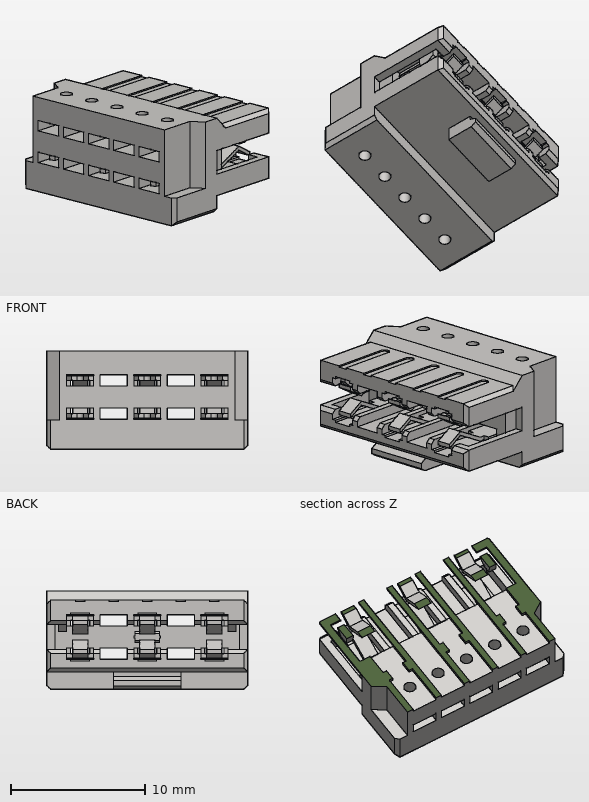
import cadquery as cq


WIDTH = 15.0
DEPTH = 11.0
HEIGHT = 7.35
PITCH = WIDTH / 6
EDGE_CHAMFER = 0.3
OVERSHOOT = 0.15

BLOCK_DEPTH = 4.82
LOWER_ARM_BOTTOM = 1.3
LOWER_ARM_TOP = 2.98
UPPER_ARM_BOTTOM = 4.83
UPPER_ARM_TOP = 6.66
SLOPE_END = BLOCK_DEPTH + HEIGHT - UPPER_ARM_TOP
MID_Z = (LOWER_ARM_TOP + UPPER_ARM_BOTTOM) / 2
SIDE_WALL = 0.62

NOTCH_FLOOR = 2.18
NOTCH_WIDTH = 0.98
NOTCH_STRAIGHT = 2.86
NOTCH_DEPTH = 3.52

TONGUE_END = 6.02
PEG_LENGTH = 0.39
PEG_HEIGHT = 0.84
PEG_WIDTH = 1.8
PEG_CHAMFER = 0.15
PEG_BAND_HEIGHT = 0.16
PEG_BAND_OVERHANG = 0.08

KEY_WIDTH = 2 * PITCH
KEY_FRONT = 8.01
KEY_NECK = 9.99
KEY_FOOT = 10.08
KEY_TIP = 10.5
KEY_TIP_BOTTOM = 0.27
KEY_TIP_TOP = 0.68
KEY_NECK_BOTTOM = 0.98

CHANNEL_WIDTH = 2.01
CHANNEL_FLOOR = 2.26
CHANNEL_TOP = 3.08
HOLE_Y = 2.07
HOLE_DIAMETER = 0.9

GROOVE_WIDTH = 0.72
GROOVE_LENGTH = 5.01
GROOVE_DEPTH = 0.1

POCKET_DEPTH = 1.0
REAR_WALL = 0.92
POCKET_WIDTH = WIDTH / 2 - SIDE_WALL - 2 * PITCH - CHANNEL_WIDTH / 2
POCKET_X = WIDTH / 2 - SIDE_WALL - POCKET_WIDTH / 2
TAB_WIDTH = 0.6
TAB_X = POCKET_X - (POCKET_WIDTH - TAB_WIDTH) / 2
TAB_DROP = 0.5
TAB_FRONT = 8.32
TAB_FOOT_FRONT = 8.38
TAB_FOOT_REAR = 9.03
TAB_REAR = 9.6

PLATE_GAP = 0.08
PLATE_THICKNESS = 0.33
PLATE_BOTTOM = CHANNEL_FLOOR + PLATE_GAP
PLATE_TOP = PLATE_BOTTOM + PLATE_THICKNESS
FORK_GAP = 0.51
FORK_END = 3.0
FORK_SHOULDER = 1.5
FORK_TIP = 0.9
TIP_FALL = 0.15
TIP_OFFSET = 0.36
PLATE_END = 6.9
EAR_WIDTH = 0.3
EAR_FRONT = 3.3
EAR_LENGTH = 0.9
BEAM_WIDTH = 1.14
BEAM_THICKNESS = 0.32
BEAM_APEX_Y = 9.52
BEAM_APEX_Z = 3.69
BEAM_FRONT_SLOPE = 0.47
BEAM_REAR_SLOPE = 0.58
BEAM_REAR = 10.74
BEAM_OVERLAP = 0.15
RECESS_WIDTH = CHANNEL_WIDTH - 2 * EAR_WIDTH
RECESS_LENGTH = DEPTH - BEAM_APEX_Y
RECESS_DEPTH = 0.16

COLUMNS = [PITCH * i for i in range(-2, 3)]
CONTACT_COLUMNS = COLUMNS[::2]


def box(width, y_range, z_range, x=0.0):
    """Box centred on x, between two Y and two Z limits."""
    y0, y1 = y_range
    z0, z1 = z_range
    return cq.Workplane("XY").box(width, y1 - y0, z1 - z0).translate((x, (y0 + y1) / 2, (z0 + z1) / 2))


def side_prism(points, width, x=0.0):
    """Extrude a (Y, Z) outline along X, centred on x."""
    return cq.Workplane("YZ").polyline(points).close().extrude(width / 2, both=True).translate((x, 0, 0))


def mirrored(shape):
    """The same shape reflected into the upper row of contacts."""
    return shape.mirror("XY", (0, 0, MID_Z))


def housing():
    """Block with two rear arms, bevelled edges, front corner notches and the tongue between the arms."""
    c = EDGE_CHAMFER
    profile = [
        (0, 0), (BLOCK_DEPTH, 0), (BLOCK_DEPTH, LOWER_ARM_BOTTOM),
        (DEPTH - c, LOWER_ARM_BOTTOM), (DEPTH, LOWER_ARM_BOTTOM + c),
        (DEPTH, LOWER_ARM_TOP - c), (DEPTH - c, LOWER_ARM_TOP), (BLOCK_DEPTH, LOWER_ARM_TOP),
        (BLOCK_DEPTH, UPPER_ARM_BOTTOM), (DEPTH - c, UPPER_ARM_BOTTOM),
        (DEPTH, UPPER_ARM_BOTTOM + c), (DEPTH, UPPER_ARM_TOP),
        (SLOPE_END, UPPER_ARM_TOP), (BLOCK_DEPTH, HEIGHT), (0, HEIGHT),
    ]
    plan = cq.Workplane("XY").rect(WIDTH, DEPTH).extrude(HEIGHT).translate((0, DEPTH / 2, 0))
    body = side_prism(profile, WIDTH).intersect(plan.edges("|Z").chamfer(c))
    for side in (-1, 1):
        body = body.cut(edge_bevel(side, 0, 1, -OVERSHOOT, BLOCK_DEPTH))
        body = body.cut(upper_arm_bevel(side))
        body = body.cut(corner_notch(side))
    tongue = box(WIDTH - 2 * SIDE_WALL, (BLOCK_DEPTH, TONGUE_END), (LOWER_ARM_TOP, UPPER_ARM_BOTTOM))
    return body.union(tongue)


def edge_bevel(side, z, up, y_start, y_end):
    """Triangular cutter along Y for the outer edge at height z; up is +1 to bevel upward."""
    edge = side * WIDTH / 2
    corner = [(edge, z), (edge - side * EDGE_CHAMFER, z), (edge, z + up * EDGE_CHAMFER)]
    return cq.Workplane("XZ").polyline(corner).close().extrude(y_start - y_end).translate((0, y_start, 0))


def upper_arm_bevel(side):
    """Bevel of the upper arm's top edge, stopped by the sloping rear of the block."""
    reach = SLOPE_END + EDGE_CHAMFER
    rear = [
        (SLOPE_END, UPPER_ARM_TOP), (reach, UPPER_ARM_TOP - EDGE_CHAMFER),
        (DEPTH + OVERSHOOT, UPPER_ARM_TOP - EDGE_CHAMFER), (DEPTH + OVERSHOOT, UPPER_ARM_TOP),
    ]
    bevel = edge_bevel(side, UPPER_ARM_TOP, -1, SLOPE_END, DEPTH + OVERSHOOT)
    return bevel.intersect(side_prism(rear, WIDTH))


def corner_notch(side):
    """Cutter for the tall front corner, with a slanted rear wall."""
    outer = side * WIDTH / 2
    inner = outer - side * NOTCH_WIDTH
    outline = [(outer, -OVERSHOOT), (outer, NOTCH_DEPTH), (inner, NOTCH_STRAIGHT), (inner, -OVERSHOOT)]
    return cq.Workplane("XY").workplane(offset=NOTCH_FLOOR).polyline(outline).close().extrude(HEIGHT)


def peg():
    """Chamfered peg on the tongue, with a thin band along its middle."""
    z_range = (MID_Z - PEG_HEIGHT / 2, MID_Z + PEG_HEIGHT / 2)
    band_z = (MID_Z - PEG_BAND_HEIGHT / 2, MID_Z + PEG_BAND_HEIGHT / 2)
    y_range = (TONGUE_END, TONGUE_END + PEG_LENGTH)
    head = box(PEG_WIDTH, y_range, z_range).faces(">Y").edges("|X").chamfer(PEG_CHAMFER)
    return head.union(box(PEG_WIDTH + 2 * PEG_BAND_OVERHANG, y_range, band_z))


def key():
    """Hooked polarizing key below the lower arm."""
    outline = [
        (KEY_FRONT, 0), (KEY_FOOT, 0), (KEY_TIP, KEY_TIP_BOTTOM), (KEY_TIP, KEY_TIP_TOP),
        (KEY_NECK, KEY_NECK_BOTTOM), (KEY_NECK, LOWER_ARM_BOTTOM), (KEY_FRONT, LOWER_ARM_BOTTOM),
    ]
    return side_prism(outline, KEY_WIDTH)


def groove(x):
    """Round-ended groove in the upper arm, open at the rear."""
    floor = UPPER_ARM_TOP - GROOVE_DEPTH
    end_y = DEPTH - GROOVE_LENGTH + GROOVE_WIDTH / 2
    slot = box(GROOVE_WIDTH, (end_y, DEPTH + OVERSHOOT), (floor, UPPER_ARM_TOP + OVERSHOOT), x)
    end = (
        cq.Workplane("XY").workplane(offset=floor).center(x, end_y)
        .circle(GROOVE_WIDTH / 2).extrude(GROOVE_DEPTH + OVERSHOOT)
    )
    return slot.union(end)


def screw_hole(x):
    """Screw access hole through the whole block."""
    return cq.Workplane("XY").center(x, HOLE_Y).circle(HOLE_DIAMETER / 2).extrude(HEIGHT)


def channel(x):
    """Straight lower channel from the wire entry to the open rear of the arm."""
    return box(CHANNEL_WIDTH, (-OVERSHOOT, DEPTH + OVERSHOOT), (CHANNEL_FLOOR, CHANNEL_TOP), x)


def beam_recess(x):
    """Clearance in the channel floor below the rear half of the spring beam."""
    return box(RECESS_WIDTH, (DEPTH - RECESS_LENGTH, DEPTH), (CHANNEL_FLOOR - RECESS_DEPTH, CHANNEL_FLOOR), x)


def side_pocket(side):
    """Pocket between the outermost lower channel and the side wall."""
    return box(POCKET_WIDTH, (TONGUE_END, DEPTH - REAR_WALL),
               (LOWER_ARM_TOP - POCKET_DEPTH, LOWER_ARM_TOP), side * POCKET_X)


def pocket_tab(side):
    """Tab that hangs from an upper pocket into the gap between the arms."""
    root = UPPER_ARM_BOTTOM + POCKET_DEPTH
    foot = UPPER_ARM_BOTTOM - TAB_DROP
    outline = [
        (TAB_FRONT, root), (TAB_FRONT, UPPER_ARM_BOTTOM), (TAB_FOOT_FRONT, foot),
        (TAB_FOOT_REAR, foot), (TAB_REAR, UPPER_ARM_BOTTOM), (TAB_REAR, root),
    ]
    return side_prism(outline, TAB_WIDTH, side * TAB_X)


def contact(x):
    """Forked plate with a bent spring beam that rises out of the lower arm."""
    half = CHANNEL_WIDTH / 2
    gap = FORK_GAP / 2
    slot_end = FORK_END - gap
    plate = (
        cq.Workplane("XY").workplane(offset=PLATE_BOTTOM)
        .moveTo(-half, FORK_SHOULDER)
        .lineTo(-half + TIP_OFFSET, FORK_TIP)
        .lineTo(-gap, FORK_TIP + TIP_FALL)
        .lineTo(-gap, slot_end)
        .threePointArc((0, FORK_END), (gap, slot_end))
        .lineTo(gap, FORK_SHOULDER)
        .lineTo(gap + TIP_OFFSET, FORK_TIP)
        .lineTo(half, FORK_TIP + TIP_FALL)
        .lineTo(half, PLATE_END)
        .lineTo(-half, PLATE_END)
        .close().extrude(PLATE_THICKNESS)
    )
    for side in (-1, 1):
        ear_x = side * (half - EAR_WIDTH / 2)
        ear = box(EAR_WIDTH, (EAR_FRONT, EAR_FRONT + EAR_LENGTH), (PLATE_TOP, CHANNEL_TOP), ear_x)
        plate = plate.union(ear)
    return plate.union(spring_beam()).translate((x, 0, 0))


def spring_beam():
    """Bent strip that leaves the plate, rises to a crest and falls towards the rear."""
    foot_y = BEAM_APEX_Y - (BEAM_APEX_Z - PLATE_TOP) / BEAM_FRONT_SLOPE
    rear_z = BEAM_APEX_Z - (BEAM_REAR - BEAM_APEX_Y) * BEAM_REAR_SLOPE
    upper = [
        (PLATE_END - BEAM_OVERLAP, PLATE_TOP), (foot_y, PLATE_TOP),
        (BEAM_APEX_Y, BEAM_APEX_Z), (BEAM_REAR, rear_z),
    ]
    lower = [(y, z - BEAM_THICKNESS) for y, z in reversed(upper)]
    return side_prism(upper + lower, BEAM_WIDTH)


result = housing().union(peg()).union(key())
for column in COLUMNS:
    result = result.cut(groove(column)).cut(screw_hole(column))
    result = result.cut(channel(column)).cut(mirrored(channel(column)))
for side in (-1, 1):
    result = result.cut(side_pocket(side)).cut(mirrored(side_pocket(side)))
    result = result.union(pocket_tab(side))
for column in CONTACT_COLUMNS:
    result = result.cut(beam_recess(column)).cut(mirrored(beam_recess(column)))
    result = result.union(contact(column)).union(mirrored(contact(column)))